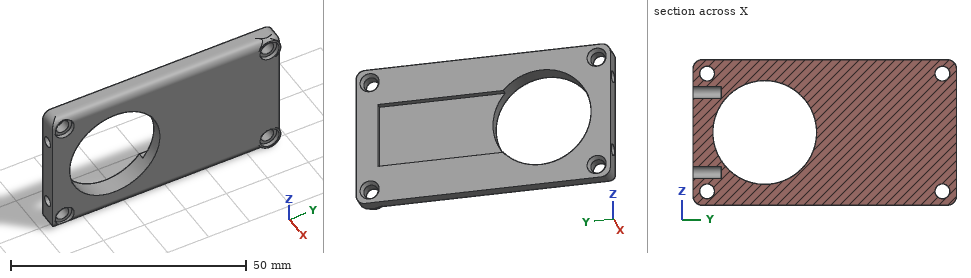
import cadquery as cq
import math

THICKNESS = 4.2
LENGTH = 56.0
HEIGHT = 31.0
CORNER_RADIUS = 2.0
LONG_EDGE_RADIUS = 2.0
END_EDGE_RADIUS = 1.5

SCREW_EDGE_DISTANCE = 3.0
SCREW_DIAMETER = 3.1
COUNTERSINK_DIAMETER = 4.2
COUNTERSINK_DEPTH = 1.0
COUNTERBORE_DIAMETER = 4.6
COUNTERBORE_DEPTH = 1.0
SCREW_Y = LENGTH / 2 - SCREW_EDGE_DISTANCE
SCREW_Z = HEIGHT / 2 - SCREW_EDGE_DISTANCE

BOSS_RADIUS = 2.75
FLARE_RADIUS = 2.5

OPENING_DIAMETER = 22.0
OPENING_Y = -12.75
POCKET_END_Y = 23.2
POCKET_HEIGHT = 14.4
POCKET_DEPTH = 1.5

END_HOLE_DIAMETER = 2.5
END_HOLE_SPACING = 17.0
END_HOLE_DEPTH = 6.0


def rod(diameter, x_start, length, y, z):
    """Cylinder along +X."""
    return cq.Workplane("YZ", origin=(x_start, y, z)).circle(diameter / 2).extrude(length)


def plate_outline():
    """Full-thickness plate with its four corners rounded."""
    plate = cq.Workplane("YZ").rect(LENGTH, HEIGHT).extrude(THICKNESS)
    return plate.edges("|X").fillet(CORNER_RADIUS)


def rounded_plate(outline):
    """Plate with its back edges rounded, along the sides up to the +Y screws and around the +Y end."""
    bar = cq.Workplane("YZ").rect(LENGTH, HEIGHT).extrude(THICKNESS)
    side_bar = bar.edges("|Y and >X").fillet(LONG_EDGE_RADIUS)
    end_plate = outline.faces(">X").edges().fillet(END_EDGE_RADIUS)

    end_zone = cq.Workplane("XY").box(THICKNESS, LENGTH, HEIGHT, centered=(False, False, True))
    end_zone = end_zone.translate((0, SCREW_Y, 0))
    return outline.intersect(side_bar).cut(end_zone).union(end_plate.intersect(end_zone))


def flared_boss(z):
    """Boss around a screw axis, widening towards the front in a concave flare."""
    flare_base_x = THICKNESS - FLARE_RADIUS
    flare_base_radius = BOSS_RADIUS + FLARE_RADIUS
    arc_offset = FLARE_RADIUS * math.sqrt(0.5)
    arc_middle = (THICKNESS - arc_offset, flare_base_radius - arc_offset)
    profile = (
        cq.Workplane("XY")
        .lineTo(0, flare_base_radius)
        .lineTo(flare_base_x, flare_base_radius)
        .threePointArc(arc_middle, (THICKNESS, BOSS_RADIUS))
        .lineTo(THICKNESS, 0)
        .close()
    )
    boss = profile.revolve(360, (0, 0, 0), (1, 0, 0))
    return boss.translate((0, SCREW_Y, z))


def screw_cutter(y, z):
    """Through hole with a countersink at the front and a counterbore at the back."""
    countersink = cq.Solid.makeCone(
        COUNTERSINK_DIAMETER / 2,
        SCREW_DIAMETER / 2,
        COUNTERSINK_DEPTH,
        cq.Vector(0, y, z),
        cq.Vector(1, 0, 0),
    )
    counterbore_x = THICKNESS - COUNTERBORE_DEPTH
    counterbore = rod(COUNTERBORE_DIAMETER, counterbore_x, COUNTERBORE_DEPTH, y, z)
    return rod(SCREW_DIAMETER, 0, THICKNESS, y, z).union(countersink).union(counterbore)


def pocket_cutter():
    pocket_length = POCKET_END_Y - OPENING_Y
    middle_y = (POCKET_END_Y + OPENING_Y) / 2
    pocket = cq.Workplane("YZ").center(middle_y, 0).rect(pocket_length, POCKET_HEIGHT)
    return pocket.extrude(POCKET_DEPTH)


def end_hole_cutter(z):
    """Blind hole along +Y, midway through the thickness."""
    axis = cq.Workplane("XZ", origin=(THICKNESS / 2, -LENGTH / 2, z))
    return axis.circle(END_HOLE_DIAMETER / 2).extrude(-END_HOLE_DEPTH)


outline = plate_outline()
body = rounded_plate(outline)
for z in (-SCREW_Z, SCREW_Z):
    body = body.union(flared_boss(z).intersect(outline))

body = body.cut(rod(OPENING_DIAMETER, 0, THICKNESS, OPENING_Y, 0))
body = body.cut(pocket_cutter())
for z in (-SCREW_Z, SCREW_Z):
    for y in (-SCREW_Y, SCREW_Y):
        body = body.cut(screw_cutter(y, z))
for z in (-END_HOLE_SPACING / 2, END_HOLE_SPACING / 2):
    body = body.cut(end_hole_cutter(z))

result = body